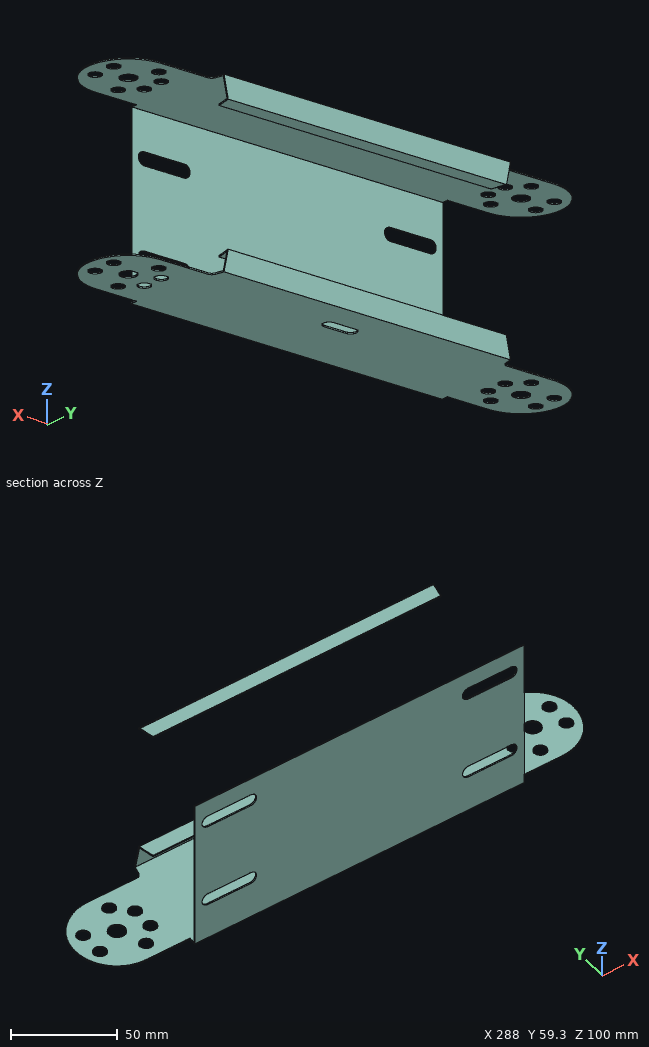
import cadquery as cq
import math

length = 288.0
depth = 59.3
height = 100.0
sheet = 0.75

web_length = 190.0
slot_width = 7.0
web_slot_length = 31.5
web_slot_inset = 20.0
web_slot_rise = 25.0

tab_width = 48.0
tab_step = 4.0
step_fillet = 3.0
flange_slot_length = 20.0
flange_slot_y = 39.2

pivot_diameter = 9.0
joint_diameter = 7.0
joint_circle_radius = 16.0
joint_angles = (22.5, 67.5, 155.0)

lip_length = 175.0
lip_height = 12.0
lip_return = 9.0
lip_taper = 12.0

tab_radius = tab_width / 2
tab_centre_x = length / 2 - tab_radius
tab_front = tab_step
tab_back = tab_step + tab_width
tab_centre_y = tab_step + tab_radius
taper_slope = math.tan(math.radians(lip_taper))


def front_web():
    """Upright front plate with two pairs of horizontal slots."""
    web = cq.Workplane("XY").box(web_length, sheet, height, centered=(True, False, True))
    slot_x = web_length / 2 - web_slot_inset
    slots = (
        cq.Workplane("XZ")
        .rarray(2 * slot_x, 2 * web_slot_rise, 2, 2)
        .slot2D(web_slot_length, slot_width)
        .extrude(sheet, both=True)
    )
    return web.cut(slots)


def flange_blank():
    """Flange outline: stepped body with a round tab at each end."""
    web_x = web_length / 2
    lip_x = lip_length / 2
    step_x = lip_x + (depth - tab_back) * taper_slope
    blank = (
        cq.Workplane("XY")
        .moveTo(-web_x, 0)
        .lineTo(web_x, 0)
        .lineTo(web_x, tab_front)
        .lineTo(tab_centre_x, tab_front)
        .threePointArc((length / 2, tab_centre_y), (tab_centre_x, tab_back))
        .lineTo(step_x, tab_back)
        .lineTo(lip_x, depth)
        .lineTo(-lip_x, depth)
        .lineTo(-step_x, tab_back)
        .lineTo(-tab_centre_x, tab_back)
        .threePointArc((-length / 2, tab_centre_y), (-tab_centre_x, tab_front))
        .lineTo(-web_x, tab_front)
        .close()
        .extrude(sheet)
    )
    step_corners = cq.selectors.BoxSelector(
        (-step_x - sheet, tab_back - sheet, -sheet),
        (step_x + sheet, tab_back + sheet, 2 * sheet),
    )
    return blank.edges("|Z").edges(step_corners).fillet(step_fillet)


def joint_holes(side):
    """Pivot hole ringed by six joint holes; side is +1 or -1 along X."""
    centre_x = side * tab_centre_x
    ring = []
    for angle in joint_angles:
        for mirror in (1, -1):
            turn = math.radians(mirror * angle)
            x = centre_x - side * joint_circle_radius * math.cos(turn)
            y = tab_centre_y + joint_circle_radius * math.sin(turn)
            ring.append((x, y))
    pivot = cq.Workplane("XY").center(centre_x, tab_centre_y).circle(pivot_diameter / 2).extrude(sheet)
    joints = cq.Workplane("XY").pushPoints(ring).circle(joint_diameter / 2).extrude(sheet)
    return pivot.union(joints)


def trapezoid(plane, base_length, rise):
    """Tapered strip of sheet whose long edge lies on the plane's X axis."""
    base_x = base_length / 2
    tip_x = base_x - rise * taper_slope
    outline = [(-base_x, 0), (base_x, 0), (tip_x, rise), (-tip_x, rise)]
    return cq.Workplane(plane).polyline(outline).close().extrude(sheet)


def lip():
    """Upright back strip with a strip turned back towards the front web."""
    upright = trapezoid("XZ", lip_length, lip_height).translate((0, depth, 0))
    turned_length = lip_length - 2 * lip_height * taper_slope
    turned = (
        trapezoid("XY", turned_length, lip_return)
        .mirror("XZ")
        .translate((0, depth, lip_height - sheet))
    )
    return upright.union(turned)


def lower_flange():
    """Flange with its holes and lip, lying at the bottom of the part."""
    slot = (
        cq.Workplane("XY")
        .center(0, flange_slot_y)
        .slot2D(flange_slot_length, slot_width)
        .extrude(sheet)
    )
    flange = flange_blank().cut(slot)
    for side in (1, -1):
        flange = flange.cut(joint_holes(side))
    return flange.union(lip()).translate((0, 0, -height / 2))


bottom = lower_flange()
top = bottom.mirror("XY")
result = front_web().union(bottom).union(top)